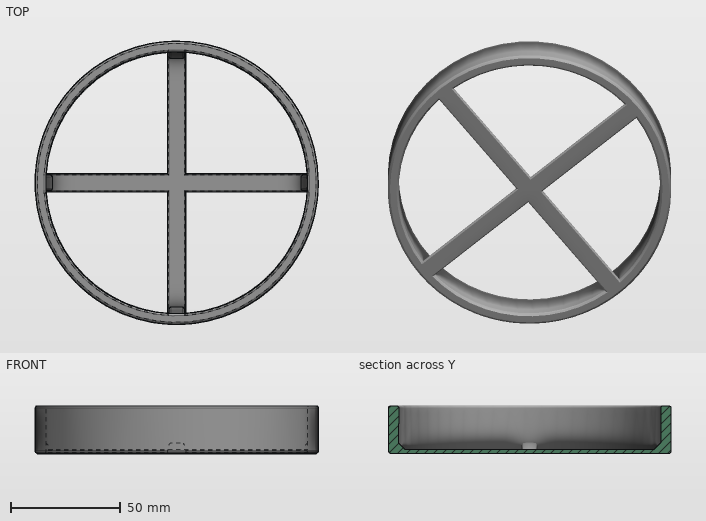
import cadquery as cq
OUTER_DIAMETER = 130.0
INNER_DIAMETER = 120.0
RING_HEIGHT = 22.0
RING_FILLET = 1.0
BASE_CHAMFER = 1.0

BAR_WIDTH = 8.5
BAR_THICKNESS = 2.0
BAR_FILLET = 0.7
BAR_CHAMFER = 0.6

GUSSET_REACH = 3.0
GUSSET_HEIGHT = 3.0
GUSSET_WIDTH = 7.2
GUSSET_FILLET = 1.0
GUSSET_TOE_DEPTH = 1.0

INNER_RADIUS = INNER_DIAMETER / 2
WALL_MIDDLE_RADIUS = (OUTER_DIAMETER + INNER_DIAMETER) / 4


def make_ring():
    """Ring with a rounded top rim; the base rim is chamfered and rounded into the wall."""
    ring = cq.Workplane("XY").circle(OUTER_DIAMETER / 2).circle(INNER_RADIUS).extrude(RING_HEIGHT)
    ring = ring.faces("<Z").edges().chamfer(BASE_CHAMFER)
    rounded_edges = cq.selectors.BoxSelector(
        (-OUTER_DIAMETER, -OUTER_DIAMETER, BASE_CHAMFER / 2),
        (OUTER_DIAMETER, OUTER_DIAMETER, RING_HEIGHT + BASE_CHAMFER),
    )
    return ring.edges("%CIRCLE").edges(rounded_edges).fillet(RING_FILLET)


def make_bar():
    """Bar along X ending inside the ring wall: chamfered below, rounded above."""
    length = 2 * WALL_MIDDLE_RADIUS
    bar = cq.Workplane("XY").box(length, BAR_WIDTH, BAR_THICKNESS, centered=(True, True, False))
    bar = bar.edges("|X and <Z").chamfer(BAR_CHAMFER)
    upper_edges = cq.selectors.BoxSelector(
        (-length, -BAR_WIDTH, BAR_CHAMFER / 2),
        (length, BAR_WIDTH, BAR_THICKNESS + BAR_CHAMFER),
    )
    return bar.edges("|X").edges(upper_edges).fillet(BAR_FILLET)


def make_gusset():
    """Sloped block at the +X bar end, buried in the bar and the ring wall, with rounded slope sides."""
    slope = GUSSET_HEIGHT / GUSSET_REACH
    buried_depth = WALL_MIDDLE_RADIUS - INNER_RADIUS
    toe = INNER_RADIUS - GUSSET_REACH - GUSSET_TOE_DEPTH / slope
    top = BAR_THICKNESS + GUSSET_HEIGHT + buried_depth * slope
    profile = [
        (toe, BAR_THICKNESS - GUSSET_TOE_DEPTH),
        (WALL_MIDDLE_RADIUS, top),
        (WALL_MIDDLE_RADIUS, BAR_THICKNESS - GUSSET_TOE_DEPTH),
    ]
    gusset = cq.Workplane("XZ").polyline(profile).close().extrude(GUSSET_WIDTH / 2, both=True)
    return gusset.edges("not(|Y or |X or |Z)").fillet(GUSSET_FILLET)


def turn(body, angle):
    """Body turned about the ring axis."""
    return body.rotate((0, 0, 0), (0, 0, 1), angle)


result = make_ring().union(make_bar()).union(turn(make_bar(), 90))
for quarter in range(4):
    result = result.union(turn(make_gusset(), 90 * quarter))